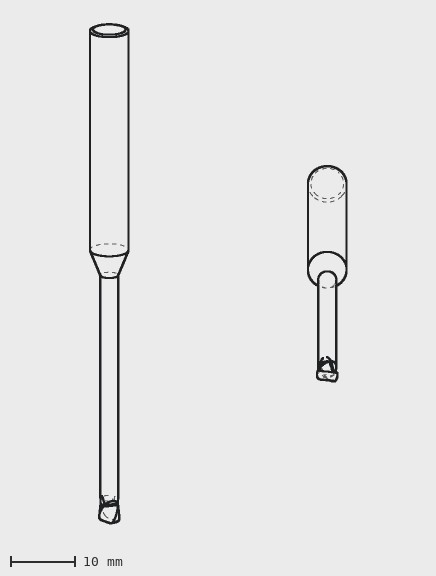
import cadquery as cq

total_length = 80.0
shank_radius = 6.0 / 2
shank_bottom = 44.1
end_chamfer_height = 0.2
end_chamfer_width = 0.5
neck_radius = 2.8 / 2
neck_top = 40.0

side_runout_top = 3.7
side_runout_bottom = 3.0
side_runout_half_width = 0.9
face_runout_top = 4.6
face_runout_bottom = 3.4
face_runout_half_width = 1.16

head_length = 2.7
head_radius = 1.6
head_top_radius = 1.4
corner_radius = 0.5
web_thickness = 1.4
web_start_angle = 20.0
web_end_angle = 85.0


def make_runout_envelope(top, bottom, half_width):
    """Plate along Y that narrows downwards in X from the neck width."""
    return (
        cq.Workplane("XZ")
        .moveTo(-half_width, head_length)
        .lineTo(half_width, head_length)
        .lineTo(half_width, bottom)
        .lineTo(neck_radius, top)
        .lineTo(shank_radius, top)
        .lineTo(shank_radius, total_length)
        .lineTo(-shank_radius, total_length)
        .lineTo(-shank_radius, top)
        .lineTo(-neck_radius, top)
        .lineTo(-half_width, bottom)
        .close()
        .extrude(shank_radius, both=True)
    )


def make_holder():
    """Chamfered shank, conical transition and neck, with flute runouts."""
    turned = (
        cq.Workplane("YZ")
        .moveTo(0, head_length)
        .lineTo(-neck_radius, head_length)
        .lineTo(-neck_radius, neck_top)
        .lineTo(-shank_radius, shank_bottom)
        .lineTo(-shank_radius, total_length - end_chamfer_height)
        .lineTo(-shank_radius + end_chamfer_width, total_length)
        .lineTo(0, total_length)
        .close()
        .revolve(360, (0, 0, 0), (0, 1, 0))
    )
    side_envelope = make_runout_envelope(
        side_runout_top, side_runout_bottom, side_runout_half_width
    )
    face_envelope = make_runout_envelope(
        face_runout_top, face_runout_bottom, face_runout_half_width
    ).rotate((0, 0, 0), (0, 0, 1), 90)
    return turned.intersect(side_envelope).intersect(face_envelope)


def make_cutting_head():
    """Two-edged head: a right-hand twisted web inside a back-tapered, round-cornered blank."""
    blank = (
        cq.Workplane("XZ")
        .lineTo(head_radius - corner_radius, 0)
        .radiusArc((head_radius, corner_radius), -corner_radius)
        .lineTo(head_top_radius, head_length)
        .lineTo(0, head_length)
        .close()
        .revolve(360, (0, 0, 0), (0, 1, 0))
    )
    web_length = 3 * head_radius
    web = (
        cq.Workplane("XY")
        .rect(web_length, web_thickness)
        .twistExtrude(head_length, web_end_angle - web_start_angle)
        .rotate((0, 0, 0), (0, 0, 1), web_start_angle)
    )
    return blank.intersect(web)


holder = make_holder()
cutting_head = make_cutting_head()

result = cq.Compound.makeCompound([*holder.solids().vals(), *cutting_head.solids().vals()])